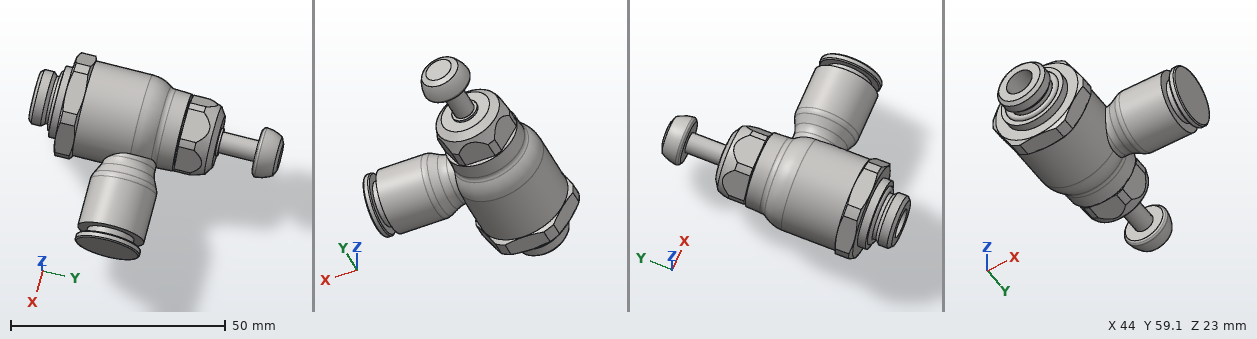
import cadquery as cq
import math


overall_length = 59.1

spigot_radius = 6.55
spigot_tip_chamfer = 0.8
spigot_neck_radius = 5.75
spigot_land_end = 3.1
spigot_taper_end = 3.95
seal_radius = 7.3
collar_start = 5.5
collar_radius = 8.55
bore_radius = 3.55

nut_start = 7.5
nut_end = 12.0
nut_across_flats = 23.0
nut_corner_radius = 12.5
nut_bevel = 0.55

body_radius = 22.8 / 2
port_height = 25.5
shoulder_end = 30.4
shoulder_end_radius = 9.8
collar_blend_end = 31.75
collar_blend_radius = 9.45
body_end = 35.5
body_end_radius = 9.3

cap_start = 35.85
cap_end = 44.25
cap_gap_radius = 7.75
cap_across_flats = 16.95
cap_corner_radius = 9.3
cap_corner_end = 39.75
cap_cone_end = 42.95
cap_cone_radius = 8.15
cap_top_radius = 6.2

stem_radius = 5.0 / 2
stem_boss_radius = 3.25
stem_boss_height = 0.55
button_start = 53.6
button_radius = 5.95
button_base_radius = 5.2
button_bevel_radius = 5.7
button_bevel_height = 0.35
button_rim_height = 0.95
button_top_radius = 3.25
button_crown_radius = 4.65
button_crown_curve = 7.7
button_top_height = 0.65

port_neck_radius = 6.15
port_flare_start = 10.7
port_cone_start = 12.8
port_cone_end = 14.95
port_sleeve_start = 16.35
port_sleeve_end = 27.95
port_sleeve_radius = 8.0
port_flare_angle = math.radians(26)
collet_radius = 5.6
collet_flange_start = 29.9
collet_flange_radius = 7.75
collet_end = 31.5
collet_chamfer = 0.3


def revolve_main(profile):
    """Revolve a closed (radius, Y) profile around the main axis."""
    return profile.close().revolve(360, (0, 0, 0), (0, 1, 0))


def tangent_rise(length):
    """Radius change of an arc that turns from axial to the flare angle over a length."""
    return length * math.tan(port_flare_angle / 2)


def hexagon(across_flats, start, end):
    """Hexagonal prism along Y with flats facing +Z and -Z."""
    across_corners = across_flats / math.cos(math.pi / 6)
    plane = cq.Plane(origin=(0, start, 0), xDir=(1, 0, 0), normal=(0, 1, 0))
    return cq.Workplane(plane).polygon(6, across_corners).extrude(end - start)


def make_spigot():
    seal_round = (seal_radius - spigot_neck_radius) / 2
    return revolve_main(
        cq.Workplane("XY")
        .moveTo(0, 0)
        .lineTo(spigot_radius - spigot_tip_chamfer, 0)
        .lineTo(spigot_radius, spigot_tip_chamfer)
        .lineTo(spigot_radius, spigot_land_end)
        .lineTo(spigot_neck_radius, spigot_taper_end)
        .lineTo(spigot_neck_radius, collar_start)
        .threePointArc(
            (spigot_neck_radius + seal_round, collar_start - seal_round),
            (seal_radius, collar_start),
        )
        .lineTo(collar_radius, collar_start)
        .lineTo(collar_radius, nut_start)
        .lineTo(0, nut_start)
    )


def make_nut():
    envelope = revolve_main(
        cq.Workplane("XY")
        .moveTo(0, nut_start)
        .lineTo(body_radius, nut_start)
        .lineTo(nut_corner_radius, nut_start + nut_bevel)
        .lineTo(nut_corner_radius, nut_end - nut_bevel)
        .lineTo(body_radius, nut_end)
        .lineTo(0, nut_end)
    )
    return hexagon(nut_across_flats, nut_start, nut_end).intersect(envelope)


def make_body():
    shoulder_drop = body_radius - shoulder_end_radius
    shoulder_length = shoulder_end - port_height
    shoulder_arc = (shoulder_length**2 + shoulder_drop**2) / (2 * shoulder_drop)
    return revolve_main(
        cq.Workplane("XY")
        .moveTo(0, nut_end)
        .lineTo(body_radius, nut_end)
        .lineTo(body_radius, port_height)
        .radiusArc((shoulder_end_radius, shoulder_end), -shoulder_arc)
        .tangentArcPoint((collar_blend_radius, collar_blend_end), relative=False)
        .lineTo(body_end_radius, body_end)
        .lineTo(cap_gap_radius, body_end)
        .lineTo(cap_gap_radius, cap_start)
        .lineTo(0, cap_start)
    )


def make_cap():
    envelope = revolve_main(
        cq.Workplane("XY")
        .moveTo(0, cap_start)
        .lineTo(cap_corner_radius, cap_start)
        .lineTo(cap_corner_radius, cap_corner_end)
        .lineTo(cap_cone_radius, cap_cone_end)
        .lineTo(cap_top_radius, cap_end)
        .lineTo(0, cap_end)
    )
    return hexagon(cap_across_flats, cap_start, cap_end).intersect(envelope)


def make_button():
    rim = button_start + button_rim_height
    rim_rise = button_rim_height - button_bevel_height
    rim_spread = button_radius - button_bevel_radius
    rim_arc = (rim_rise**2 + rim_spread**2) / (2 * rim_spread)
    crown = overall_length - button_top_height
    return revolve_main(
        cq.Workplane("XY")
        .moveTo(0, cap_end)
        .lineTo(stem_boss_radius, cap_end)
        .lineTo(stem_boss_radius, cap_end + stem_boss_height)
        .lineTo(stem_radius, cap_end + stem_boss_height)
        .lineTo(stem_radius, button_start)
        .lineTo(button_base_radius, button_start)
        .lineTo(button_bevel_radius, button_start + button_bevel_height)
        .radiusArc((button_radius, rim), -rim_arc)
        .radiusArc((button_crown_radius, crown), -button_crown_curve)
        .lineTo(button_top_radius, overall_length)
        .lineTo(0, overall_length)
    )


def make_port():
    cone_start_radius = port_neck_radius + tangent_rise(port_cone_start - port_flare_start)
    cone_end_radius = port_sleeve_radius - tangent_rise(port_sleeve_start - port_cone_end)
    profile = (
        cq.Workplane("XY", origin=(0, port_height, 0))
        .moveTo(0, 0)
        .lineTo(0, port_neck_radius)
        .lineTo(port_flare_start, port_neck_radius)
        .tangentArcPoint((port_cone_start, cone_start_radius), relative=False)
        .lineTo(port_cone_end, cone_end_radius)
        .tangentArcPoint((port_sleeve_start, port_sleeve_radius), relative=False)
        .lineTo(port_sleeve_end, port_sleeve_radius)
        .lineTo(port_sleeve_end, collet_radius)
        .lineTo(collet_flange_start, collet_radius)
        .lineTo(collet_flange_start, collet_flange_radius - collet_chamfer)
        .lineTo(collet_flange_start + collet_chamfer, collet_flange_radius)
        .lineTo(collet_end - collet_chamfer, collet_flange_radius)
        .lineTo(collet_end, collet_flange_radius - collet_chamfer)
        .lineTo(collet_end, 0)
        .close()
    )
    return profile.revolve(360, (0, 0, 0), (1, 0, 0))


bore = cq.Workplane("XZ").circle(bore_radius).extrude(-nut_end)

result = (
    make_spigot()
    .union(make_nut())
    .union(make_body())
    .union(make_cap())
    .union(make_button())
    .union(make_port())
    .cut(bore)
)